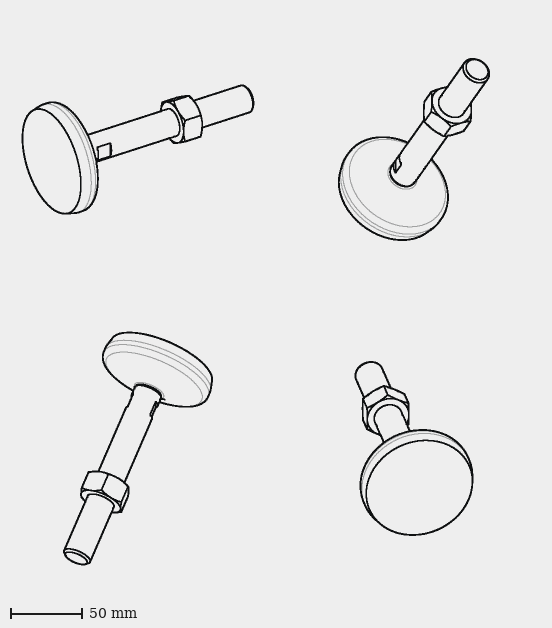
import cadquery as cq
import math

TOTAL_LENGTH = 163.0

BASE_RADIUS = 80.0 / 2
UNDERSIDE_RADIUS = 38.3
BAND_BOTTOM = 7.3
BAND_TOP = 11.0
SHOULDER_ROUND_RADIUS = 4.0
SHOULDER_SWEEP = 82.0
COLLAR_RADIUS = 11.1
COLLAR_HEIGHT = 24.3
BASE_TOP_RADIUS = 9.6
BASE_HEIGHT = 25.1

NECK_RADIUS = 10.0 / 2
SPINDLE_RADIUS = 20.0 / 2
SPINDLE_START = 26.2
SPINDLE_CHAMFER = 1.6

FLAT_START = 32.6
FLAT_LENGTH = 11.0
FLAT_SPACING = 17.0

NUT_START = 100.4
NUT_THICKNESS = 15.6
NUT_ACROSS_FLATS = 30.0
NUT_FACE_RADIUS = NUT_ACROSS_FLATS / 2
NUT_CHAMFER_ANGLE = 30.0
HEX_SIDES = 6


def cylinder_along_y(radius, start, length):
    """Round bar centred on the Y axis, running towards +Y."""
    return cq.Workplane("XZ", origin=(0, start, 0)).circle(radius).extrude(-length)


def shoulder_point(angle):
    """Point on the rounded shoulder, with the angle measured from the outer band."""
    turn = math.radians(angle)
    return (
        BASE_RADIUS - SHOULDER_ROUND_RADIUS * (1 - math.cos(turn)),
        BAND_TOP + SHOULDER_ROUND_RADIUS * math.sin(turn),
    )


def make_base():
    """Dished round base with a rounded shoulder flowing into a concave flare."""
    return (
        cq.Workplane("XY")
        .lineTo(UNDERSIDE_RADIUS, 0)
        .lineTo(BASE_RADIUS, BAND_BOTTOM)
        .lineTo(BASE_RADIUS, BAND_TOP)
        .threePointArc(shoulder_point(SHOULDER_SWEEP / 2), shoulder_point(SHOULDER_SWEEP))
        .tangentArcPoint((COLLAR_RADIUS, COLLAR_HEIGHT), relative=False)
        .lineTo(BASE_TOP_RADIUS, BASE_HEIGHT)
        .lineTo(0, BASE_HEIGHT)
        .close()
        .revolve(360, (0, 0, 0), (0, 1, 0))
    )


def make_spindle():
    """Spindle with a chamfered free end and two wrench flats."""
    spindle = cylinder_along_y(SPINDLE_RADIUS, SPINDLE_START, TOTAL_LENGTH - SPINDLE_START)
    spindle = spindle.faces(">Y").chamfer(SPINDLE_CHAMFER)
    cutter_depth = SPINDLE_RADIUS
    for side in (-1, 1):
        cutter = cq.Workplane("XY").box(cutter_depth, FLAT_LENGTH, 2 * SPINDLE_RADIUS)
        cutter_x = side * (FLAT_SPACING + cutter_depth) / 2
        spindle = spindle.cut(cutter.translate((cutter_x, FLAT_START + FLAT_LENGTH / 2, 0)))
    return spindle


def make_nut():
    """Hexagon nut whose corners are trimmed by a cone at each end."""
    half_side_angle = math.pi / HEX_SIDES
    corner_radius = NUT_FACE_RADIUS / math.cos(half_side_angle)
    corner_angles = [(2 * i + 1) * half_side_angle for i in range(HEX_SIDES)]
    corners = [(corner_radius * math.cos(a), corner_radius * math.sin(a)) for a in corner_angles]
    hexagon = (
        cq.Workplane("XZ", origin=(0, NUT_START, 0))
        .polyline(corners)
        .close()
        .extrude(-NUT_THICKNESS)
    )
    chamfer_width = corner_radius - NUT_FACE_RADIUS
    chamfer_height = chamfer_width * math.tan(math.radians(NUT_CHAMFER_ANGLE))
    nut_end = NUT_START + NUT_THICKNESS
    envelope = (
        cq.Workplane("XY")
        .moveTo(0, NUT_START)
        .lineTo(NUT_FACE_RADIUS, NUT_START)
        .lineTo(corner_radius, NUT_START + chamfer_height)
        .lineTo(corner_radius, nut_end - chamfer_height)
        .lineTo(NUT_FACE_RADIUS, nut_end)
        .lineTo(0, nut_end)
        .close()
        .revolve(360, (0, 0, 0), (0, 1, 0))
    )
    return hexagon.intersect(envelope)


neck = cylinder_along_y(NECK_RADIUS, BASE_HEIGHT, SPINDLE_START - BASE_HEIGHT)
result = make_base().union(neck).union(make_spindle()).union(make_nut())